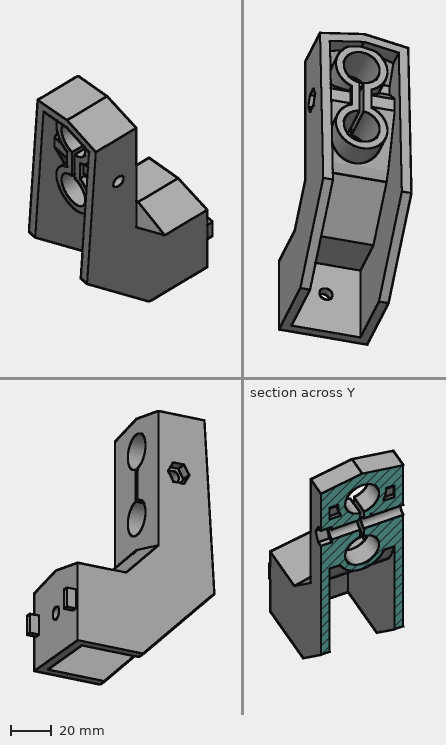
import cadquery as cq
import math

width = 45.0
height = 134.0
wall = 5.0
gable_rise = 4.0
inner_width = 2 * (width / 2 - wall)

base_ridge = 45.0
bend_y = -25.2
column_rear = -44.8
column_front_top = -70.1
nose_y = -75.8
nose_z = 39.3
foot_front = nose_y + nose_z

bend_factor = 2 ** 0.5 - 1
ceiling = base_ridge - wall
inner_bend_y = bend_y - wall * bend_factor
inner_rear = column_rear - wall
inner_slope_top = ceiling + inner_bend_y - inner_rear

bolt_y = -56.0
bolt_z = 99.3
bolt_diameter = 6.5
nut_corners = 11.7
nut_depth = 6.0
ledge_front = -63.6
ledge_half_height = 3.5
ledge_top = 111.4
ledge_bottom = 67.3

pad_front = -52.4
pad_upper_front = -55.0
pad_lead_in = 62.7
pad_top = 116.6
pad_roof_angle = 35

bore_heights = (81.5, 116.6)
bore_radius = 9.1
ring_radius = 13.1
slot_width = 2.0
stem_width = 10.0
clamp_front = -66.0

mount_z = 22.5
mount_hole_diameter = 6.5
tab_inner_x = 17.4
tab_width = 3.2
tab_height = 10.0


def side_prism(points, prism_width):
    """Extrude a (y, z) outline symmetrically about x = 0."""
    return cq.Workplane("YZ").polyline(points).close().extrude(prism_width / 2, both=True)


def box_between(x_size, y_start, y_end, z_start, z_end, x_center=0):
    size_y = y_end - y_start
    size_z = z_end - z_start
    block = cq.Workplane("XY").box(x_size, size_y, size_z)
    return block.translate((x_center, (y_start + y_end) / 2, (z_start + z_end) / 2))


def y_cylinder(radius, y_start, y_end, z):
    plane = cq.Workplane("XZ", origin=(0, y_end, z))
    return plane.circle(radius).extrude(y_end - y_start)


def gable_prism(drop, y_start, y_end):
    """Everything under the column roof, lowered by drop."""
    half = width / 2
    ridge = height - drop
    eave = ridge - gable_rise
    outline = [(-half, 0), (half, 0), (half, eave), (0, ridge), (-half, eave)]
    return cq.Workplane("XZ", origin=(0, y_end, 0)).polyline(outline).close().extrude(y_end - y_start)


def sloped_base_roof(sign):
    """Region above one half of the base roof, ridge at x = 0 and eave at the side."""
    def section(offset, x):
        y = bend_y - offset * bend_factor
        z = base_ridge - offset
        points = [(0, z), (y, z), (column_rear, z + y - column_rear),
                  (column_rear, height), (0, height)]
        return cq.Wire.makePolygon([cq.Vector(x, *p) for p in points], close=True)

    solid = cq.Solid.makeLoft([section(0, 0), section(gable_rise, sign * width / 2)], True)
    return cq.Workplane(obj=solid)


def make_housing():
    outline = [
        (0, 0), (0, height), (column_front_top, height),
        (nose_y, nose_z), (foot_front, 0),
    ]
    body = side_prism(outline, width)
    body = body.intersect(gable_prism(0, nose_y, 0))
    for sign in (-1, 1):
        body = body.cut(sloped_base_roof(sign))
    cavity = side_prism(
        [(-wall, 0), (-wall, ceiling), (inner_bend_y, ceiling), (inner_rear, inner_slope_top),
         (inner_rear, height), (nose_y, height), (nose_y, 0)],
        inner_width,
    )
    return body.cut(cavity.intersect(gable_prism(wall, nose_y, 0)))


def make_pad():
    roof_y = pad_upper_front - (height - pad_top) * math.tan(math.radians(pad_roof_angle))
    pad = side_prism(
        [(inner_rear, pad_lead_in), (pad_front, ledge_bottom), (pad_front, bolt_z),
         (pad_upper_front, bolt_z), (pad_upper_front, pad_top),
         (roof_y, height), (inner_rear, height)],
        inner_width,
    )
    return pad.intersect(gable_prism(0, nose_y, 0))


def make_ledge():
    return side_prism(
        [(pad_front, ledge_bottom), (ledge_front, bolt_z - ledge_half_height),
         (ledge_front, bolt_z + ledge_half_height), (pad_upper_front, ledge_top), (pad_front, ledge_top)],
        inner_width,
    )


def make_clamp():
    low, high = bore_heights
    clamp = box_between(stem_width, clamp_front, inner_rear, low, high)
    for z in bore_heights:
        clamp = clamp.union(y_cylinder(ring_radius, clamp_front, inner_rear, z))
    return clamp.intersect(gable_prism(0, nose_y, 0))


def cut_clamp_openings(body):
    low, high = bore_heights
    body = body.cut(box_between(slot_width, nose_y, column_rear, low, high))
    for z in bore_heights:
        body = body.cut(y_cylinder(bore_radius, nose_y, column_rear, z))
    return body


def cut_bolt(body):
    plane = cq.Workplane("YZ", origin=(-width / 2, bolt_y, bolt_z))
    bolt = plane.circle(bolt_diameter / 2).extrude(width)
    nut = plane.polygon(6, nut_corners).extrude(nut_depth)
    return body.cut(bolt).cut(nut)


def make_tab(sign):
    return box_between(tab_width, -wall, wall, mount_z - tab_height / 2, mount_z + tab_height / 2,
                       sign * (tab_inner_x + tab_width / 2))


body = make_housing().union(make_pad()).union(make_ledge()).union(make_clamp())
body = cut_clamp_openings(body)
body = cut_bolt(body)
body = body.cut(y_cylinder(mount_hole_diameter / 2, -wall, 0, mount_z))
for side in (-1, 1):
    body = body.union(make_tab(side))
result = body